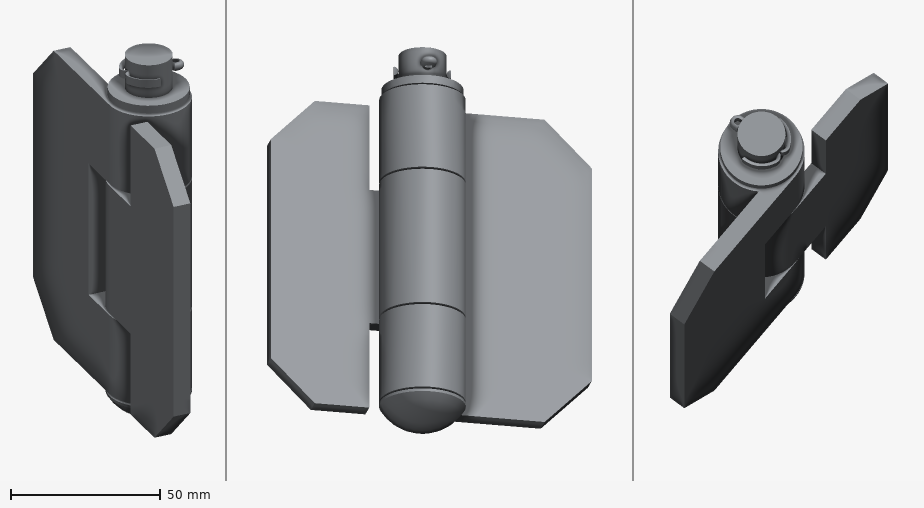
import cadquery as cq


total_height = 135.0
knuckle_diameter = 29.0
pin_diameter = 16.0
dome_height = 8.4
head_rim_height = 1.0

leaf_height = 109.1
leaf_thickness = 6.2
leaf_gap = 0.7
left_leaf_reach = 60.0
right_leaf_reach = 50.1
left_corner = 16.2
right_corner = 15.0
slot_height = 49.5
middle_knuckle_height = 48.0
knuckle_clearance = 1.9

washer_diameter = 27.5
washer_thickness = 2.8
washer_gap = 0.8

hole_mouth_diameter = 4.5
hole_mouth_depth = 1.15
cotter_depth = 6.1
wire_radius = 1.5
eye_radius = 1.2
eye_center_y = 10.1
eye_neck_y = 9.3
throat_y = 8.6
bend_radius = 2.5
wrap_radius = 9.7
wrap_center_y = -0.3
right_leg_end_y = -0.1
left_leg_end_y = 0.7

knuckle_radius = knuckle_diameter / 2
pin_radius = pin_diameter / 2
head_top = dome_height + head_rim_height
leaf_bottom = head_top + leaf_gap
leaf_top = leaf_bottom + leaf_height
leaf_middle = leaf_bottom + leaf_height / 2
cotter_z = total_height - cotter_depth
edge_distance = knuckle_radius + knuckle_clearance


def cylinder(radius, bottom, height):
    return cq.Workplane("XY").workplane(offset=bottom).circle(radius).extrude(height)


def leaf_plate(x_start, x_end, bottom, height):
    """Flat plate whose front face is tangent to the knuckles."""
    corner = (x_start, -knuckle_radius, bottom)
    return cq.Workplane("XY").box(x_end - x_start, leaf_thickness, height, centered=False).translate(corner)


def make_left_leaf():
    plate = leaf_plate(-left_leaf_reach, 0, leaf_bottom, leaf_height)
    plate = plate.edges("|Y and <X").chamfer(left_corner)
    leaf = plate.union(cylinder(knuckle_radius, leaf_bottom, leaf_height))
    slot = cq.Workplane("XY").box(2 * edge_distance, 2 * edge_distance, slot_height)
    leaf = leaf.cut(slot.translate((0, 0, leaf_middle)))
    return leaf.cut(cylinder(pin_radius, leaf_bottom, leaf_height))


def make_right_leaf():
    plate = leaf_plate(edge_distance, right_leaf_reach, leaf_bottom, leaf_height)
    plate = plate.edges("|Y and >X").chamfer(right_corner)
    knuckle_bottom = leaf_middle - middle_knuckle_height / 2
    tongue = leaf_plate(0, edge_distance, knuckle_bottom, middle_knuckle_height)
    knuckle = cylinder(knuckle_radius, knuckle_bottom, middle_knuckle_height)
    bore = cylinder(pin_radius, knuckle_bottom, middle_knuckle_height)
    return plate.union(tongue).union(knuckle).cut(bore)


def make_cross_hole():
    """The hole along Y through the pin, revolved with a conical mouth at both ends."""
    throat_end = pin_radius - hole_mouth_depth
    mouth_radius = hole_mouth_diameter / 2
    half_profile = [
        (0, -pin_radius),
        (mouth_radius, -pin_radius),
        (wire_radius, -throat_end),
        (wire_radius, throat_end),
        (mouth_radius, pin_radius),
        (0, pin_radius),
    ]
    profile = cq.Workplane("XY", origin=(0, 0, cotter_z)).polyline(half_profile).close()
    return profile.revolve(360, (0, 0), (0, 1))


def make_pin():
    dome_radius = (knuckle_radius**2 + dome_height**2) / (2 * dome_height)
    dome = cq.Workplane("XY").sphere(dome_radius).translate((0, 0, dome_radius))
    dome = dome.intersect(cylinder(knuckle_radius, 0, dome_height))
    rim = cylinder(knuckle_radius, dome_height, head_rim_height)
    shank = cylinder(pin_radius, head_top, total_height - head_top)
    return dome.union(rim).union(shank).cut(make_cross_hole())


def make_washer():
    washer_bottom = leaf_top + washer_gap
    disc = cylinder(washer_diameter / 2, washer_bottom, washer_thickness)
    return disc.cut(cylinder(pin_radius, washer_bottom, washer_thickness))


def cotter_half(leg_end_y):
    """The +X half of the cotter pin: half of the eye, one straight leg and its wrapped end."""
    center_distance = wrap_radius - bend_radius
    bend_center_y = wrap_center_y - (center_distance**2 - bend_radius**2) ** 0.5
    wrap_start_x = bend_radius * wrap_radius / center_distance
    wrap_start_y = wrap_center_y + (bend_center_y - wrap_center_y) * wrap_radius / center_distance
    wrap_end_x = (wrap_radius**2 - (leg_end_y - wrap_center_y) ** 2) ** 0.5
    path = (
        cq.Workplane("XY", origin=(0, 0, cotter_z))
        .moveTo(0, eye_center_y + eye_radius)
        .radiusArc((eye_radius, eye_center_y), eye_radius)
        .lineTo(eye_radius, eye_neck_y)
        .lineTo(0, throat_y)
        .lineTo(0, bend_center_y)
        .radiusArc((wrap_start_x, wrap_start_y), -bend_radius)
        .radiusArc((wrap_end_x, leg_end_y), -wrap_radius)
    )
    section = (
        cq.Workplane("YZ", origin=(0, eye_center_y + eye_radius, cotter_z))
        .moveTo(0, -wire_radius)
        .threePointArc((wire_radius, 0), (0, wire_radius))
        .close()
    )
    return section.sweep(path, transition="right")


def make_cotter():
    right_half = cotter_half(right_leg_end_y)
    left_half = cotter_half(left_leg_end_y).mirror("YZ")
    return right_half.union(left_half)


left_leaf = make_left_leaf()
right_leaf = make_right_leaf()
pin = make_pin()
washer = make_washer()
cotter = make_cotter()

bodies = [left_leaf, right_leaf, pin, washer, cotter]
result = cq.Compound.makeCompound([body.solids().val() for body in bodies])